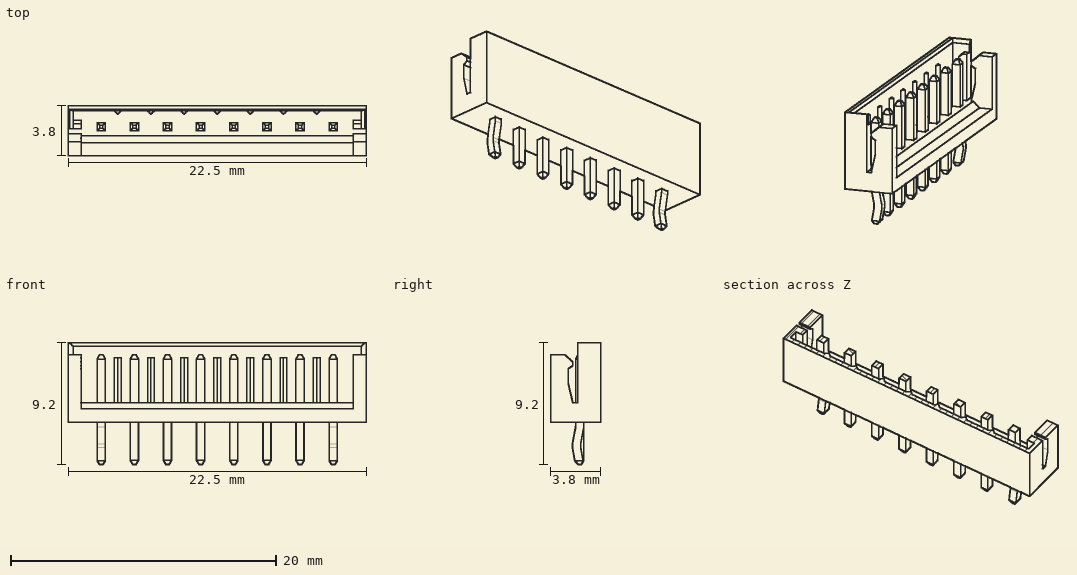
import cadquery as cq


LENGTH = 22.5
DEPTH = 3.8
HEIGHT = 6.0

FLOOR_Z = 1.48
SILL_Z = 1.01
SILL_DEPTH = 1.01
BEVEL_END_Y = 1.5

SHROUD_FRONT_Y = 2.05
BACK_WALL = 0.4
END_WALL = 0.38
LEAD_IN_HEIGHT = 0.27
LEAD_IN_X = LEAD_IN_HEIGHT
LEAD_IN_Y = 0.11

POST_WIDTH = 1.0
POST_HEIGHT = 5.1
POST_TOP_DEPTH = 1.08
POST_NECK_Y = 1.35
POST_ROOT_Y = 1.69
NECK_BOTTOM_Z = 2.92
NECK_TOP_Z = 4.05
NOSE_Y = 1.69
NOSE_BOTTOM_Z = 4.28
NOSE_TOP_Z = 4.57

GUIDE_DEPTH = 0.63
GUIDE_TOP_Z = POST_HEIGHT
GUIDE_BEVEL = 0.25

RIDGE_WIDTH = 0.52
RIDGE_DEPTH = 0.25
RIDGE_TOP_Z = 4.88

PIN_COUNT = 8
PITCH = LENGTH / (PIN_COUNT + 1)
PIN_WIDTH = 0.63
PIN_Y = 2.2
PIN_TOP_Z = 5.1
PIN_BOTTOM_Z = -3.2
TIP_LENGTH = 0.34
TIP_WIDTH = 0.25

KINK_OFFSET = 0.25
KINK_START_Z = -0.32
KINK_TOP_Z = -1.62
KINK_BOTTOM_Z = -1.9
TAIL_OFFSET = 0.07
TAIL_TIP_LENGTH = 0.3

PIN_XS = [(i - (PIN_COUNT - 1) / 2) * PITCH for i in range(PIN_COUNT)]
RIDGE_XS = [x + PITCH / 2 for x in PIN_XS[:-1]]
BACK_FACE_Y = DEPTH - BACK_WALL


def box(x_range, y_range, z_range):
    """Box between the given (low, high) limits on each axis."""
    sizes = [high - low for low, high in (x_range, y_range, z_range)]
    corner = (x_range[0], y_range[0], z_range[0])
    return cq.Workplane("XY").box(*sizes, centered=False).translate(corner)


def extrude_along_x(points, x_start, width):
    """Prism of a (Y, Z) outline running along +X from x_start."""
    return cq.Workplane("YZ").workplane(offset=x_start).polyline(points).close().extrude(width)


def frustum(size_x, size_y, top_x, top_y, height, top_shift_y=0):
    """Four-sided taper along Z from a rectangle centred on the origin; its far end may be shifted in Y."""
    base = cq.Workplane("XY").rect(size_x, size_y)
    return base.workplane(offset=height).center(0, top_shift_y).rect(top_x, top_y).loft()


def make_base():
    """Solid floor with a lower sill along the front and a bevel between the two levels."""
    outline = [
        (0, 0),
        (DEPTH, 0),
        (DEPTH, FLOOR_Z),
        (BEVEL_END_Y, FLOOR_Z),
        (SILL_DEPTH, SILL_Z),
        (0, SILL_Z),
    ]
    return extrude_along_x(outline, -LENGTH / 2, LENGTH)


def make_shroud():
    half = LENGTH / 2
    inner = half - END_WALL
    shroud = box((-half, half), (SHROUD_FRONT_Y, DEPTH), (0, HEIGHT))
    cavity = box((-inner, inner), (SHROUD_FRONT_Y, BACK_FACE_Y), (FLOOR_Z, HEIGHT))
    return shroud.cut(cavity).cut(make_lead_in())


def make_lead_in():
    """Tapered mouth, symmetric about the shroud front so that only its rear half cuts."""
    inner_x = LENGTH - 2 * END_WALL
    inner_y = 2 * (BACK_FACE_Y - SHROUD_FRONT_Y)
    mouth = frustum(inner_x, inner_y, inner_x + 2 * LEAD_IN_X, inner_y + 2 * LEAD_IN_Y, LEAD_IN_HEIGHT)
    return mouth.translate((0, SHROUD_FRONT_Y, HEIGHT - LEAD_IN_HEIGHT))


def make_latch_post(x_start):
    outline = [
        (0, 0),
        (POST_ROOT_Y, 0),
        (POST_ROOT_Y, FLOOR_Z),
        (POST_NECK_Y, NECK_BOTTOM_Z),
        (POST_NECK_Y, NECK_TOP_Z),
        (NOSE_Y, NOSE_BOTTOM_Z),
        (NOSE_Y, NOSE_TOP_Z),
        (POST_TOP_DEPTH, POST_HEIGHT),
        (0, POST_HEIGHT),
    ]
    return extrude_along_x(outline, x_start, POST_WIDTH)


def make_guide_block(x_start):
    rear_y = SHROUD_FRONT_Y + GUIDE_DEPTH
    outline = [
        (SHROUD_FRONT_Y, 0),
        (rear_y, 0),
        (rear_y, GUIDE_TOP_Z - GUIDE_BEVEL),
        (rear_y - GUIDE_BEVEL, GUIDE_TOP_Z),
        (SHROUD_FRONT_Y, GUIDE_TOP_Z),
    ]
    return extrude_along_x(outline, x_start, POST_WIDTH)


def make_ridge(x):
    half = RIDGE_WIDTH / 2
    outline = [
        (x - half, BACK_FACE_Y),
        (x, BACK_FACE_Y - RIDGE_DEPTH),
        (x + half, BACK_FACE_Y),
    ]
    return cq.Workplane("XY").polyline(outline).close().extrude(RIDGE_TOP_Z)


def make_pin_hole(x):
    """Square hole through the floor for one pin."""
    half = PIN_WIDTH / 2
    return box((x - half, x + half), (PIN_Y - half, PIN_Y + half), (0, FLOOR_Z))


def make_housing():
    housing = make_base().union(make_shroud())
    for x_start in (-LENGTH / 2, LENGTH / 2 - POST_WIDTH):
        housing = housing.union(make_latch_post(x_start)).union(make_guide_block(x_start))
    for x in RIDGE_XS:
        housing = housing.union(make_ridge(x))
    for x in PIN_XS:
        housing = housing.cut(make_pin_hole(x))
    return housing


def make_tip(height, shift_y=0):
    """Tapered pin end; a negative height points it downward."""
    return frustum(PIN_WIDTH, PIN_WIDTH, TIP_WIDTH, TIP_WIDTH, height, shift_y)


def make_pin(x, kinked):
    """Square pin with tapered ends; a kinked tail bows forward and its tip returns to the pin axis."""
    half = PIN_WIDTH / 2
    tail_offset = TAIL_OFFSET if kinked else 0
    tail_tip_length = TAIL_TIP_LENGTH if kinked else TIP_LENGTH
    upper_z = PIN_TOP_Z - TIP_LENGTH
    lower_z = PIN_BOTTOM_Z + tail_tip_length
    tail_y = PIN_Y - tail_offset
    centreline = [(PIN_Y, upper_z), (tail_y, lower_z)]
    if kinked:
        kink_y = PIN_Y - KINK_OFFSET
        centreline[1:1] = [(PIN_Y, KINK_START_Z), (kink_y, KINK_TOP_Z), (kink_y, KINK_BOTTOM_Z)]
    front_edge = [(y - half, z) for y, z in centreline]
    rear_edge = [(y + half, z) for y, z in reversed(centreline)]
    shank = extrude_along_x(front_edge + rear_edge, x - half, PIN_WIDTH)
    top_tip = make_tip(TIP_LENGTH).translate((x, PIN_Y, upper_z))
    bottom_tip = make_tip(-tail_tip_length, tail_offset).translate((x, tail_y, lower_z))
    return shank.union(top_tip).union(bottom_tip)


housing = make_housing()
pins = [make_pin(x, kinked=x in (PIN_XS[0], PIN_XS[-1])) for x in PIN_XS]

result = cq.Compound.makeCompound([housing.val(), *[pin.val() for pin in pins]])